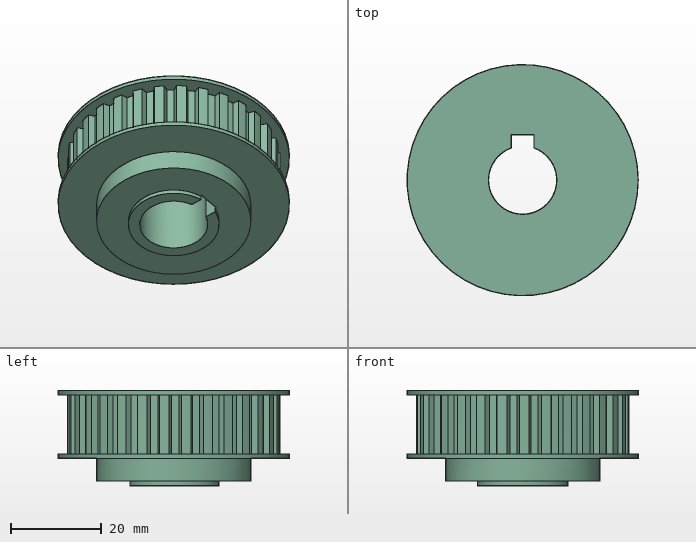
import cadquery as cq
import math

total_height = 21.0
flange_diameter = 51.0
flange_thickness = 1.0
hub_diameter = 34.0
hub_height = 5.0
spigot_diameter = 20.0
spigot_height = 1.0

bore_diameter = 15.0
keyway_width = 5.0
keyway_reach = 10.0

tooth_count = 30
tip_radius = 23.45
root_radius = 22.1
land_width = 2.15
tooth_base_width = 3.0
tooth_phase = 6.8

hub_bottom = spigot_height
lower_flange_bottom = hub_bottom + hub_height
belt_bottom = lower_flange_bottom + flange_thickness
upper_flange_bottom = total_height - flange_thickness
belt_height = upper_flange_bottom - belt_bottom


def disc(diameter, bottom, height):
    return cq.Workplane("XY").workplane(offset=bottom).circle(diameter / 2).extrude(height)


def polar_point(radius, angle):
    return (radius * math.cos(angle), radius * math.sin(angle))


def toothed_ring():
    """Belt section: straight-flanked teeth with round lands and round groove floors."""
    pitch = 2 * math.pi / tooth_count
    half_land = math.asin(land_width / 2 / tip_radius)
    half_base = math.asin(tooth_base_width / 2 / root_radius)
    phase = math.radians(tooth_phase)

    outline = cq.Workplane("XY").workplane(offset=belt_bottom)
    outline = outline.moveTo(*polar_point(root_radius, phase - half_base))
    for tooth in range(tooth_count):
        center = phase + tooth * pitch
        outline = (
            outline.lineTo(*polar_point(tip_radius, center - half_land))
            .threePointArc(
                polar_point(tip_radius, center),
                polar_point(tip_radius, center + half_land),
            )
            .lineTo(*polar_point(root_radius, center + half_base))
            .threePointArc(
                polar_point(root_radius, center + pitch / 2),
                polar_point(root_radius, center + pitch - half_base),
            )
        )
    return outline.close().extrude(belt_height)


def keyed_bore():
    """Through bore with a keyway on the +Y side along its full length."""
    keyway = (
        cq.Workplane("XY")
        .center(0, keyway_reach / 2)
        .rect(keyway_width, keyway_reach)
        .extrude(total_height)
    )
    return disc(bore_diameter, 0, total_height).union(keyway)


spigot = disc(spigot_diameter, 0, spigot_height)
hub = disc(hub_diameter, hub_bottom, hub_height)
lower_flange = disc(flange_diameter, lower_flange_bottom, flange_thickness)
upper_flange = disc(flange_diameter, upper_flange_bottom, flange_thickness)

body = spigot.union(hub).union(lower_flange).union(toothed_ring()).union(upper_flange)
result = body.cut(keyed_bore())